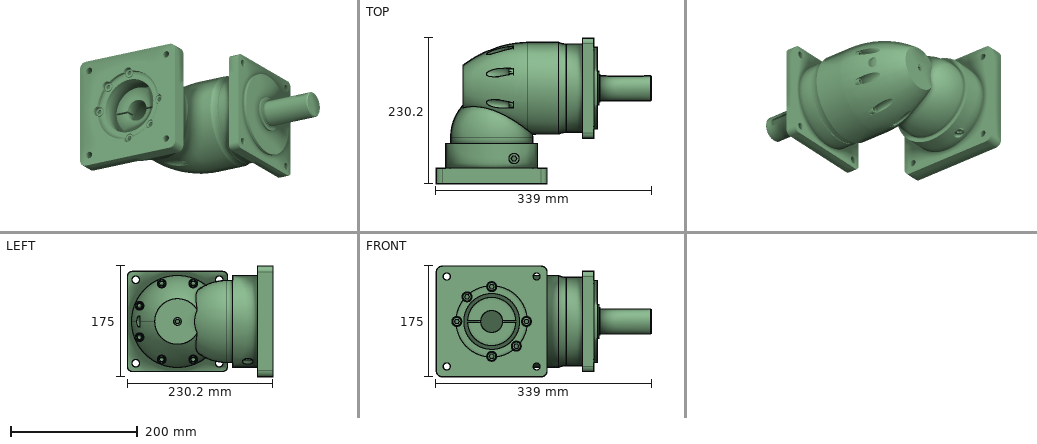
import cadquery as cq
import math


plate_side = 175.0
plate_corner = 10.0
plate_front = -151.0
plate_back = -125.8
plate_hole_offset = 71.0
plate_hole_radius = 5.5
housing_radius = 72.5
housing_back = -86.8
neck_radius = 64.7
neck_back = -77.5
input_dome_arc_radius = 76.3
input_dome_end = -13.5

recess_radius = 56.3
recess_depth = 5.5
bore_radius = 44.0
bore_depth = 47.5
collar_radius = 38.0
collar_face_depth = 29.0
collar_hole_radius = 17.3
collar_hole_depth = 51.0
slit_width = 3.0

plate_screw_circle = 55.0
plate_screw_angles = [-45, 0, 90, 135, 180, 270]
plate_pocket_radius = 7.8
plate_head_radius = 6.5
plate_head_height = 3.5
plate_pocket_depth = recess_depth + plate_head_height

clamp_screw_x = 35.3
clamp_screw_y = -111.0
clamp_screw_radius = 8.0
clamp_screw_base = 51.0
clamp_screw_top = 60.7
clamp_socket_size = 7.8

cap_x = -45.5
cap_radius = 36.0
dome_mid_x = -16.3
dome_mid_radius = 54.2
body_radius = 72.5
body_start = 56.5
body_end = 105.5
ring_radius = 70.0
groove_x = 117.0
groove_width = 1.0
groove_depth = 1.0
flange_side = 158.3
flange_corner = 8.5
flange_back = 143.0
flange_face = 161.0
flange_hole_offset = 65.8
flange_hole_radius = 5.8
pilot_radius = 64.7
pilot_end = 166.5

seal_radius = 26.8
seal_end = 169.5
collar_step_radius = 21.7
collar_step_end = 170.5
shaft_radius = 20.0
shaft_chamfer = 1.5
overall_length = 339.0
shaft_end = overall_length - plate_side / 2
key_start = 179.5
key_end = 242.0
key_width = 12.0
key_depth = 5.0

dome_screw_count = 8
dome_screw_circle = 64.7
dome_pocket_radius = 6.8
dome_pocket_floor = 34.2
dome_head_radius = 5.5
dome_head_top = 27.0
plug_radius = 6.0
plug_recess = 0.7
filler_radius = 8.5
filler_floor = 59.3

socket_size = 6.8
socket_depth = 3.5


def along_y(start, x=0.0, z=0.0):
    """Workplane facing +Y at the given station, centred on (x, z)."""
    return cq.Workplane("XZ", origin=(x, start, z)).workplane(invert=True)


def along_x(start, y=0.0, z=0.0):
    """Workplane facing +X at the given station, centred on (y, z)."""
    return cq.Workplane("YZ", origin=(start, y, z))


def square_corners(offset):
    return [(sx * offset, sy * offset) for sx in (-1, 1) for sy in (-1, 1)]


def on_circle(radius, angle):
    """First and second plane coordinates of a point on a circle, angle in degrees."""
    return radius * math.cos(math.radians(angle)), radius * math.sin(math.radians(angle))


def make_input_side():
    plate = (
        along_y(plate_front)
        .rect(plate_side, plate_side)
        .extrude(plate_back - plate_front)
        .edges("|Y")
        .fillet(plate_corner)
        .cut(
            along_y(plate_front)
            .pushPoints(square_corners(plate_hole_offset))
            .circle(plate_hole_radius)
            .extrude(plate_back - plate_front)
        )
    )
    arc_centre = neck_radius - input_dome_arc_radius
    dome_length = input_dome_end - neck_back

    def dome_radius(length):
        return arc_centre + math.sqrt(input_dome_arc_radius**2 - length**2)

    revolved = (
        cq.Workplane("XY")
        .moveTo(0, plate_back)
        .lineTo(housing_radius, plate_back)
        .lineTo(housing_radius, housing_back)
        .lineTo(neck_radius, housing_back)
        .lineTo(neck_radius, neck_back)
        .threePointArc(
            (dome_radius(dome_length / 2), neck_back + dome_length / 2),
            (dome_radius(dome_length), input_dome_end),
        )
        .lineTo(0, input_dome_end)
        .close()
        .revolve(360, (0, 0, 0), (0, 1, 0))
    )
    return plate.union(revolved)


def make_output_side():
    groove_floor = ring_radius - groove_depth
    cove_length = groove_x - body_end
    cove_drop = body_radius - ring_radius
    cove_arc_radius = (cove_length**2 + cove_drop**2) / (2 * cove_drop)
    cove_mid_radius = ring_radius + cove_arc_radius - math.sqrt(cove_arc_radius**2 - (cove_length / 2) ** 2)
    revolved = (
        cq.Workplane("XY")
        .moveTo(cap_x, 0)
        .lineTo(cap_x, cap_radius)
        .threePointArc((dome_mid_x, dome_mid_radius), (body_start, body_radius))
        .lineTo(body_end, body_radius)
        .threePointArc((body_end + cove_length / 2, cove_mid_radius), (groove_x, ring_radius))
        .lineTo(groove_x, groove_floor)
        .lineTo(groove_x + groove_width, groove_floor)
        .lineTo(groove_x + groove_width, ring_radius)
        .lineTo(flange_face, ring_radius)
        .lineTo(flange_face, pilot_radius)
        .lineTo(pilot_end, pilot_radius)
        .lineTo(pilot_end, seal_radius)
        .lineTo(seal_end, seal_radius)
        .lineTo(seal_end, collar_step_radius)
        .lineTo(collar_step_end, collar_step_radius)
        .lineTo(collar_step_end, shaft_radius)
        .lineTo(shaft_end - shaft_chamfer, shaft_radius)
        .lineTo(shaft_end, shaft_radius - shaft_chamfer)
        .lineTo(shaft_end, 0)
        .close()
        .revolve(360, (0, 0, 0), (1, 0, 0))
    )
    flange = (
        along_x(flange_back)
        .rect(flange_side, flange_side)
        .extrude(flange_face - flange_back)
        .edges("|X")
        .fillet(flange_corner)
        .cut(
            along_x(flange_back)
            .pushPoints(square_corners(flange_hole_offset))
            .circle(flange_hole_radius)
            .extrude(flange_face - flange_back)
        )
    )
    return revolved.union(flange)


def cut_keyway(body):
    """Round-ended keyway on the +Y side of the shaft."""
    keyway = (
        along_y(shaft_radius - key_depth, x=(key_start + key_end) / 2)
        .slot2D(key_end - key_start, key_width)
        .extrude(2 * key_depth)
    )
    return body.cut(keyway)


def cut_input_socket(body):
    recess = along_y(plate_front).circle(recess_radius).extrude(recess_depth)
    bore = along_y(plate_front).circle(bore_radius).extrude(bore_depth)
    collar_face = plate_front + collar_face_depth
    collar_length = bore_depth - collar_face_depth
    collar = along_y(collar_face).circle(collar_radius).extrude(collar_length)
    slit = along_y(collar_face).rect(2 * collar_radius, slit_width).extrude(collar_length)
    hole = along_y(collar_face).circle(collar_hole_radius).extrude(collar_hole_depth)
    return body.cut(recess.union(bore)).union(collar.cut(slit)).cut(hole)


def across_corners(across_flats):
    return across_flats / math.cos(math.pi / 6)


def socket_head(plane, radius, height, across_flats=socket_size):
    """Screw head standing on the given plane, with a hexagon socket in its top."""
    head = plane.circle(radius).extrude(height)
    socket_floor = plane.workplane(offset=height - socket_depth)
    socket = socket_floor.polygon(6, across_corners(across_flats)).extrude(socket_depth)
    return head.cut(socket)


def add_plate_screws(body):
    floor = plate_front + plate_pocket_depth
    for angle in plate_screw_angles:
        x, z = on_circle(plate_screw_circle, angle)
        pocket = along_y(plate_front, x, z).circle(plate_pocket_radius).extrude(plate_pocket_depth)
        head_plane = along_y(floor, x, z).workplane(invert=True)
        body = body.cut(pocket).union(socket_head(head_plane, plate_head_radius, plate_head_height))
    return body


def add_dome_screws(body):
    """Screws in axial pockets; those behind the input housing lie inside it and are left solid."""
    step = 360 / dome_screw_count
    for index in range(dome_screw_count):
        angle = (index + 0.5) * step
        y, z = on_circle(dome_screw_circle, angle)
        if y < -dome_screw_circle * math.cos(math.radians(step)):
            continue
        pocket = along_x(cap_x, y, z).circle(dome_pocket_radius).extrude(dome_pocket_floor - cap_x)
        head_plane = along_x(dome_pocket_floor, y, z).workplane(invert=True)
        head = socket_head(head_plane, dome_head_radius, dome_pocket_floor - dome_head_top)
        body = body.cut(pocket).union(head)
    return body


def add_clamp_screws(body):
    """Two clamp screws set into the housing wall, opposite each other about the input axis."""
    base = cq.Workplane("XY", origin=(clamp_screw_x, clamp_screw_y, clamp_screw_base))
    hole = base.circle(clamp_screw_radius).extrude(housing_radius - clamp_screw_base)
    screw_length = clamp_screw_top - clamp_screw_base
    screw = socket_head(base, clamp_screw_radius, screw_length, clamp_socket_size)
    for angle in (0, 180):
        body = body.cut(hole.rotate((0, 0, 0), (0, 1, 0), angle))
        body = body.union(screw.rotate((0, 0, 0), (0, 1, 0), angle))
    return body


def cut_plug_and_filler(body):
    recess = along_x(cap_x).circle(plug_radius).extrude(plug_recess)
    socket = along_x(cap_x).polygon(6, across_corners(socket_size)).extrude(plug_recess + socket_depth)
    filler = along_y(filler_floor).circle(filler_radius).extrude(body_radius - filler_floor)
    return body.cut(recess.union(socket)).cut(filler)


output_side = cut_plug_and_filler(add_dome_screws(cut_keyway(make_output_side())))
gearbox = output_side.union(make_input_side())
gearbox = add_plate_screws(cut_input_socket(gearbox))
result = add_clamp_screws(gearbox)